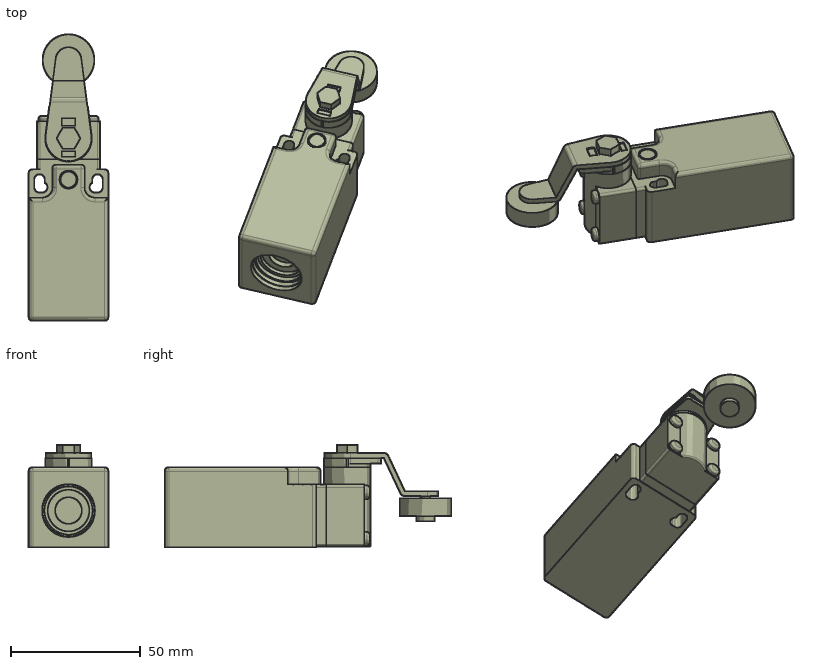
import cadquery as cq
import math


overall_length = 110.5

housing_width = 30.8
housing_height = 30.8
housing_length = 58.5
ledge_z = 24.2
ledge_start_y = 47.5
edge_radius = 1.5
tongue_width = 12.4
tongue_end_y = 60.1
tongue_corner_radius = 1.0
ledge_wall_radius = 4.0

head_width = 24.3
head_bottom_z = 0.2
head_edge_radius = 1.0
neck_end_y = 62.3
head_end_y = 76.9

slot_width = 4.0
slot_x = 11.2
slot_end_y = 54.5

ring_outer_diameter = 7.0
ring_inner_diameter = 6.2
ring_depth = 0.5
ring_y = 54.5

entry_z = 14.1
entry_steps = [(20.4, 2.0), (20.0, 4.0), (18.6, 6.0), (16.0, 7.6), (10.3, 9.8)]

turret_y = 70.4
turret_diameter = 18.0
turret_top_z = 30.8
bulge_round = 0.5

screw_diameter = 5.3
screw_offset = 9.0
screw_height = 2.1
screw_dome_radius = 1.1

disc_diameter = turret_diameter
disc_top_z = 34.4
wing_bottom_z = 32.3
wing_end_y = 83.4
wing_corner_radius = 1.5
mark_width = 0.7
mark_depth = 0.3
mark_count = 3
hex_across_flats = 8.0
hex_top_z = 39.5

lever_thickness = 2.0
lever_hub_diameter = 17.7
lever_tip_diameter = 10.0
lever_tip_top_z = 21.7
upper_bend_y = 84.4
lower_bend_y = 92.6
pocket_length = 5.1
pocket_depth = 0.5
front_pocket_y = (63.3, 65.4)
rear_pocket_y = (75.3, 78.1)

roller_diameter = 20.0
roller_top_z = 18.9
roller_bottom_z = 12.0
axle_diameter = 3.9
axle_head_diameter = 7.2
axle_bottom_z = 10.0

half_width = housing_width / 2
half_tongue = tongue_width / 2
ledge_arc_x = half_tongue + ledge_wall_radius
ledge_arc_y = ledge_start_y + ledge_wall_radius
head_height = ledge_z - head_bottom_z
head_mid_z = head_bottom_z + head_height / 2
roller_y = overall_length - roller_diameter / 2
lever_top_z = disc_top_z + lever_thickness
lever_tip_bottom_z = lever_tip_top_z - lever_thickness
disc_tip_diameter = lever_tip_diameter + disc_diameter - lever_hub_diameter


def cylinder(diameter, y, bottom_z, top_z, x=0):
    """Upright cylinder between two levels."""
    return cq.Workplane("XY", origin=(x, y, bottom_z)).circle(diameter / 2).extrude(top_z - bottom_z)


def block(x_size, y_range, z_range):
    """Box centred on X."""
    start_y, end_y = y_range
    bottom_z, top_z = z_range
    return (
        cq.Workplane("XY", origin=(0, (start_y + end_y) / 2, bottom_z))
        .rect(x_size, end_y - start_y)
        .extrude(top_z - bottom_z)
    )


def rounded_bar(start_y, end_y):
    """Length of the cross-section shared by the neck and the head."""
    return block(head_width, (start_y, end_y), (head_bottom_z, ledge_z)).edges("|Y").fillet(head_edge_radius)


def teardrop(hub_diameter, tip_diameter, bottom_z, top_z):
    """Plate bounded by the hub circle, the tip circle and their common tangents."""
    hub_radius = hub_diameter / 2
    tip_radius = tip_diameter / 2
    taper = math.asin((hub_radius - tip_radius) / (roller_y - turret_y))
    hub_x = hub_radius * math.cos(taper)
    hub_tangent_y = turret_y + hub_radius * math.sin(taper)
    tip_x = tip_radius * math.cos(taper)
    tip_tangent_y = roller_y + tip_radius * math.sin(taper)
    return (
        cq.Workplane("XY", origin=(0, 0, bottom_z))
        .moveTo(hub_x, hub_tangent_y)
        .lineTo(tip_x, tip_tangent_y)
        .threePointArc((0, roller_y + tip_radius), (-tip_x, tip_tangent_y))
        .lineTo(-hub_x, hub_tangent_y)
        .threePointArc((0, turret_y - hub_radius), (hub_x, hub_tangent_y))
        .close()
        .extrude(top_z - bottom_z)
    )


def hex_prism(bottom_z, top_z):
    """Hexagon on the turret axis with two corners along X."""
    across_corners = hex_across_flats / math.cos(math.pi / 6)
    return (
        cq.Workplane("XY", origin=(0, turret_y, bottom_z))
        .polygon(6, across_corners)
        .extrude(top_z - bottom_z)
    )


def mounting_slot(side):
    """L-shaped cutter through the ledge on one side (+1 or -1), its toe pointing inwards."""
    outer_x = side * slot_x
    toe_x = side * ledge_arc_x
    leg = block(slot_width, (ledge_arc_y, slot_end_y), (0, ledge_z)).translate((outer_x, 0, 0))
    foot = (
        cq.Workplane("XY", origin=((outer_x + toe_x) / 2, ledge_arc_y, 0))
        .rect(slot_x - ledge_arc_x, slot_width)
        .extrude(ledge_z)
    )
    slot = leg.union(foot)
    for x, y in ((outer_x, slot_end_y), (outer_x, ledge_arc_y), (toe_x, ledge_arc_y)):
        slot = slot.union(cylinder(slot_width, y, 0, ledge_z, x))
    return slot


def ring_groove():
    """Cutter for the shallow ring on top of the tongue."""
    return (
        cq.Workplane("XY", origin=(0, ring_y, housing_height - ring_depth))
        .circle(ring_outer_diameter / 2)
        .circle(ring_inner_diameter / 2)
        .extrude(ring_depth)
    )


def cable_entry():
    """Cutter for the stepped blind hole in the end face."""
    entry = cq.Workplane("XZ")
    for diameter, depth in entry_steps:
        entry = entry.union(cq.Workplane("XZ", origin=(0, 0, entry_z)).circle(diameter / 2).extrude(-depth))
    return entry


def build_housing():
    """Main block with ledges, tongue and neck."""
    lower = block(housing_width, (0, housing_length), (0, ledge_z))
    arc_middle = ledge_wall_radius * math.sqrt(0.5)
    upper = (
        cq.Workplane("XY", origin=(0, 0, ledge_z))
        .moveTo(-half_width, 0)
        .lineTo(half_width, 0)
        .lineTo(half_width, ledge_start_y)
        .lineTo(ledge_arc_x, ledge_start_y)
        .threePointArc((ledge_arc_x - arc_middle, ledge_arc_y - arc_middle), (half_tongue, ledge_arc_y))
        .lineTo(half_tongue, tongue_end_y)
        .lineTo(-half_tongue, tongue_end_y)
        .lineTo(-half_tongue, ledge_arc_y)
        .threePointArc((arc_middle - ledge_arc_x, ledge_arc_y - arc_middle), (-ledge_arc_x, ledge_start_y))
        .lineTo(-half_width, ledge_start_y)
        .close()
        .extrude(housing_height - ledge_z)
    )
    upper = upper.edges("|Z and >Y").fillet(tongue_corner_radius)
    lower = lower.edges("|Z and >Y").fillet(edge_radius)
    housing = lower.union(upper)
    housing = housing.edges("|Z and <Y").fillet(edge_radius)
    housing = housing.faces(">Z").edges().fillet(edge_radius)
    housing = housing.union(rounded_bar(housing_length, neck_end_y))
    for side in (-1, 1):
        housing = housing.cut(mounting_slot(side))
    return housing.cut(ring_groove()).cut(cable_entry())


def cover_screw(x, z):
    """Domed screw head on the rear face of the head."""
    return (
        cq.Workplane("XZ", origin=(x, head_end_y, z))
        .circle(screw_diameter / 2)
        .extrude(-screw_height)
        .faces(">Y")
        .edges()
        .fillet(screw_dome_radius)
    )


def build_head():
    """Head block with its turret, rear bulge and four cover screws."""
    rear_half = block(head_width, (turret_y, head_end_y + turret_diameter), (head_bottom_z, ledge_z))
    bulge = cylinder(turret_diameter, turret_y, head_bottom_z, ledge_z)
    bulge = bulge.faces("<Z").edges().fillet(bulge_round).intersect(rear_half)
    head = rounded_bar(neck_end_y, head_end_y).union(bulge)
    head = head.union(cylinder(turret_diameter, turret_y, ledge_z, turret_top_z))
    for x_side in (-1, 1):
        for z_side in (-1, 1):
            head = head.union(cover_screw(x_side * screw_offset, head_mid_z + z_side * screw_offset))
    return head


def build_drive_disc():
    """Disc on the turret with a tapered wing, index marks and the hexagon shaft."""
    disc = cylinder(disc_diameter, turret_y, turret_top_z, disc_top_z)
    marks = (
        cq.Workplane("XY", origin=(0, turret_y, turret_top_z))
        .polarArray(disc_diameter / 2 - mark_depth / 2, 180, 180, mark_count)
        .rect(mark_depth, mark_width)
        .extrude(disc_top_z - turret_top_z)
    )
    wing = teardrop(disc_diameter, disc_tip_diameter, wing_bottom_z, disc_top_z)
    wing = wing.intersect(block(disc_diameter, (turret_y, wing_end_y), (wing_bottom_z, disc_top_z)))
    wing = wing.edges("|Z and >Y").fillet(wing_corner_radius)
    return disc.union(wing).cut(marks).union(hex_prism(disc_top_z, hex_top_z))


def lever_strip():
    """Cranked strip: sharp inside corners, rounded outside corners."""
    run = lower_bend_y - upper_bend_y
    drop = disc_top_z - lever_tip_top_z
    slant = math.atan2(drop, run) + math.asin(lever_thickness / math.hypot(run, drop))
    tilt = math.pi / 2 - slant

    def on_upper_bend(angle):
        return (
            upper_bend_y + lever_thickness * math.cos(angle),
            disc_top_z + lever_thickness * math.sin(angle),
        )

    def on_lower_bend(angle):
        return (
            lower_bend_y - lever_thickness * math.cos(angle),
            lever_tip_top_z - lever_thickness * math.sin(angle),
        )

    arc_middle = (tilt + math.pi / 2) / 2
    start_y = turret_y - lever_hub_diameter
    end_y = roller_y + lever_tip_diameter
    return (
        cq.Workplane("YZ")
        .moveTo(start_y, disc_top_z)
        .lineTo(start_y, lever_top_z)
        .lineTo(upper_bend_y, lever_top_z)
        .threePointArc(on_upper_bend(arc_middle), on_upper_bend(tilt))
        .lineTo(lower_bend_y, lever_tip_top_z)
        .lineTo(end_y, lever_tip_top_z)
        .lineTo(end_y, lever_tip_bottom_z)
        .lineTo(lower_bend_y, lever_tip_bottom_z)
        .threePointArc(on_lower_bend(arc_middle), on_lower_bend(tilt))
        .lineTo(upper_bend_y, disc_top_z)
        .close()
        .extrude(lever_hub_diameter / 2, both=True)
    )


def build_lever():
    """Cranked lever with two shallow pockets and the riveted roller axle."""
    lever = lever_strip().intersect(
        teardrop(lever_hub_diameter, lever_tip_diameter, lever_tip_bottom_z, lever_top_z)
    )
    lever = lever.cut(hex_prism(disc_top_z, lever_top_z))
    for pocket_y in (front_pocket_y, rear_pocket_y):
        lever = lever.cut(block(pocket_length, pocket_y, (lever_top_z - pocket_depth, lever_top_z)))
    axle = cylinder(axle_diameter, roller_y, roller_bottom_z, lever_tip_bottom_z)
    axle_head = cylinder(axle_head_diameter, roller_y, axle_bottom_z, roller_bottom_z)
    return lever.union(axle).union(axle_head)


def build_roller():
    """Roller with a bore for the axle."""
    roller = cylinder(roller_diameter, roller_y, roller_bottom_z, roller_top_z)
    return roller.cut(cylinder(axle_diameter, roller_y, roller_bottom_z, roller_top_z))


housing = build_housing()
head = build_head()
drive_disc = build_drive_disc()
lever = build_lever()
roller = build_roller()

result = cq.Compound.makeCompound(
    [housing.val(), head.val(), drive_disc.val(), lever.val(), roller.val()]
)